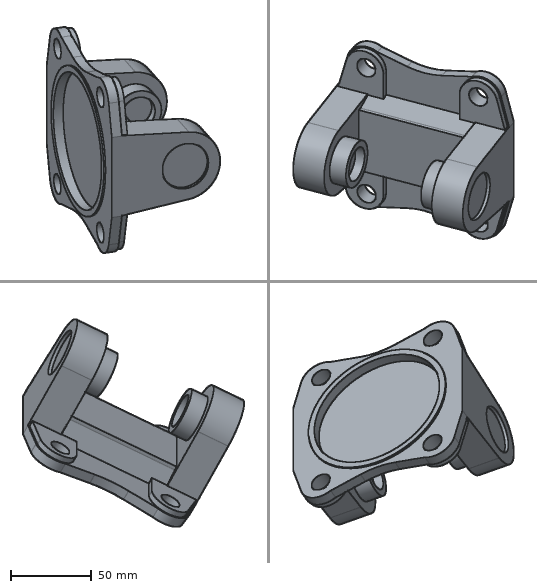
import cadquery as cq
import math

width = 117.73
height = 117.52
axis_y = 50.0
ear_end_radius = 23.06

spigot_diameter = 95.2
spigot_height = 1.2
pocket_diameter = 87.0
pocket_depth = 6.5

flange_thickness = 6.8
flange_front_y = spigot_height
flange_back_y = flange_front_y + flange_thickness
side_half_length = 27.3
flank_angle = math.radians(15.0)
corner_radius = 14.2
dish_half_height = 50.65
dish_radius = 51.5
dish_half_width = 11.95
corner_z = height / 2 - corner_radius
flank_distance = width / 2 * math.cos(flank_angle) + side_half_length * math.sin(flank_angle)
corner_x = (flank_distance - corner_radius - corner_z * math.sin(flank_angle)) / math.cos(flank_angle)

hole_diameter = 12.8
hole_spacing_x = 77.65
hole_spacing_z = 92.4
hole_pattern_x = -0.63
hole_pattern_z = -0.2
hole_pattern_turn = -0.15

pad_thickness = 3.9
pad_inset = 1.1
pad_back_y = flange_back_y + pad_thickness

ear_thickness = 21.5
ear_inner_x = width / 2 - ear_thickness
boss_diameter = 30.5
boss_length = 11.3
boss_end_x = ear_inner_x - boss_length
outer_recess_depth = 2.3
inner_recess_diameter = 22.0
inner_recess_depth = 6.3

bridge_back_y = 24.2
bridge_bend_y = 21.8
bridge_flare_angle = math.radians(20.0)
bridge_draft_angle = math.radians(3.7)

overlap = 1.0


def plate(outline, start_y, end_y):
    """Extrude an XZ outline from start_y to end_y."""
    return outline.extrude(start_y - end_y).translate((0, start_y, 0))


def disc(diameter, start_y, end_y):
    """Round disc about the Y axis."""
    return plate(cq.Workplane("XZ").circle(diameter / 2), start_y, end_y)


def rod(diameter, start_x, end_x):
    """Cylinder on the trunnion axis between two X positions."""
    profile = cq.Workplane("YZ").center(axis_y, 0).circle(diameter / 2)
    return profile.extrude(end_x - start_x).translate((start_x, 0, 0))


def corner_point(radius, angle):
    """Point around the upper right corner centre, at an angle from +X."""
    return corner_x + radius * math.cos(angle), corner_z + radius * math.sin(angle)


def flange_outline():
    """Outline of the flange in the XZ plane."""
    dish_angle = math.asin(dish_half_width / dish_radius)
    dish_z = dish_half_height + dish_radius * (1 - math.cos(dish_angle))
    rise = dish_z - corner_z
    run = corner_x - dish_half_width
    line_distance = rise * math.cos(dish_angle) + run * math.sin(dish_angle)
    meeting_angle = math.pi / 2 + dish_angle + math.acos(line_distance / corner_radius)

    flank_x, flank_z = corner_point(corner_radius, flank_angle)
    middle_x, middle_z = corner_point(corner_radius, (flank_angle + meeting_angle) / 2)
    meeting_x, meeting_z = corner_point(corner_radius, meeting_angle)
    side_x = width / 2
    return (
        cq.Workplane("XZ")
        .moveTo(side_x, -side_half_length)
        .lineTo(side_x, side_half_length)
        .lineTo(flank_x, flank_z)
        .threePointArc((middle_x, middle_z), (meeting_x, meeting_z))
        .lineTo(dish_half_width, dish_z)
        .threePointArc((0, dish_half_height), (-dish_half_width, dish_z))
        .lineTo(-meeting_x, meeting_z)
        .threePointArc((-middle_x, middle_z), (-flank_x, flank_z))
        .lineTo(-side_x, side_half_length)
        .lineTo(-side_x, -side_half_length)
        .lineTo(-flank_x, -flank_z)
        .threePointArc((-middle_x, -middle_z), (-meeting_x, -meeting_z))
        .lineTo(-dish_half_width, -dish_z)
        .threePointArc((0, -dish_half_height), (dish_half_width, -dish_z))
        .lineTo(meeting_x, -meeting_z)
        .threePointArc((middle_x, -middle_z), (flank_x, -flank_z))
        .close()
    )


def corner_pad():
    """Upper right pad: a rounded lobe just inside the corner, reaching down into the ear."""
    radius = corner_radius - pad_inset
    root_z = side_half_length - overlap
    flank_x, flank_z = corner_point(radius, flank_angle)
    root_x = flank_x + (flank_z - side_half_length) * math.tan(flank_angle)
    inner_x = corner_x - radius
    outline = (
        cq.Workplane("XZ")
        .moveTo(inner_x, root_z)
        .lineTo(root_x, root_z)
        .lineTo(root_x, side_half_length)
        .lineTo(flank_x, flank_z)
        .threePointArc((corner_x, corner_z + radius), (inner_x, corner_z))
        .close()
    )
    return plate(outline, flange_back_y - overlap, pad_back_y)


def ear(inner_x):
    """Tapered ear with a round end, starting at inner_x and growing toward +X."""
    reach = axis_y - flange_back_y
    root_angle = math.atan2(side_half_length, -reach)
    root_distance = math.hypot(side_half_length, reach)
    tangent_angle = root_angle - math.acos(ear_end_radius / root_distance)
    tangent_y = axis_y + ear_end_radius * math.cos(tangent_angle)
    tangent_z = ear_end_radius * math.sin(tangent_angle)
    return (
        cq.Workplane("YZ")
        .moveTo(flange_front_y, -side_half_length)
        .lineTo(flange_back_y, -side_half_length)
        .lineTo(tangent_y, -tangent_z)
        .threePointArc((axis_y + ear_end_radius, 0), (tangent_y, tangent_z))
        .lineTo(flange_back_y, side_half_length)
        .lineTo(flange_front_y, side_half_length)
        .close()
        .extrude(ear_thickness)
        .translate((inner_x, 0, 0))
    )


def trunnion_ear():
    """Right-hand ear with its inward boss and both recesses."""
    body = ear(ear_inner_x).union(rod(boss_diameter, boss_end_x, ear_inner_x + overlap))
    body = body.cut(rod(boss_diameter, width / 2 - outer_recess_depth, width / 2 + overlap))
    return body.cut(rod(inner_recess_diameter, boss_end_x - overlap, boss_end_x + inner_recess_depth))


def bridge():
    """Bar between the ears, flared toward the flange and slightly drafted at its back edge."""
    bend_z = side_half_length - (bridge_bend_y - flange_back_y) * math.tan(bridge_flare_angle)
    back_z = bend_z - (bridge_back_y - bridge_bend_y) * math.tan(bridge_draft_angle)
    start_y = flange_back_y - overlap
    half_length = ear_inner_x + overlap
    return (
        cq.Workplane("YZ")
        .moveTo(start_y, -side_half_length)
        .lineTo(flange_back_y, -side_half_length)
        .lineTo(bridge_bend_y, -bend_z)
        .lineTo(bridge_back_y, -back_z)
        .lineTo(bridge_back_y, back_z)
        .lineTo(bridge_bend_y, bend_z)
        .lineTo(flange_back_y, side_half_length)
        .lineTo(start_y, side_half_length)
        .close()
        .extrude(half_length, both=True)
    )


def mounting_holes():
    """Cutters for the four mounting holes."""
    pattern = cq.Workplane("XZ").rarray(hole_spacing_x, hole_spacing_z, 2, 2).circle(hole_diameter / 2)
    cutters = plate(pattern, -overlap, pad_back_y + overlap)
    cutters = cutters.rotate((0, 0, 0), (0, -1, 0), hole_pattern_turn)
    return cutters.translate((hole_pattern_x, 0, hole_pattern_z))


upper_right_pad = corner_pad()
upper_pads = upper_right_pad.union(upper_right_pad.mirror("YZ"))
right_ear = trunnion_ear()

result = plate(flange_outline(), flange_front_y, flange_back_y)
result = result.union(disc(spigot_diameter, 0, flange_back_y - overlap))
result = result.union(bridge())
result = result.union(upper_pads).union(upper_pads.mirror("XY"))
result = result.union(right_ear).union(right_ear.mirror("YZ"))
result = result.cut(disc(pocket_diameter, -overlap, pocket_depth))
result = result.cut(mounting_holes())